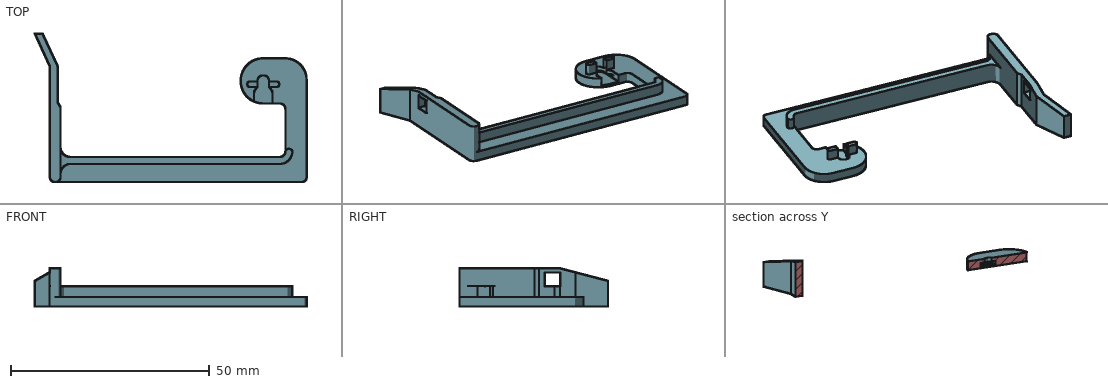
import cadquery as cq
import math

length = 68.65
depth = 37.5
height = 9.7

base_thickness = 2.5
bar_width = 6.4
column_width = 5.4
head_bottom = 19.85
head_top = 31.3
head_radius = (head_top - head_bottom) / 2
head_center_x = 57.65
head_corner_radius = 5.5
inner_radius = 1.4
outer_corner_radius = 1.25
column_inner_x = length - column_width

rail_top = 5.15
rail_width = 1.8
rail_outer_radius = inner_radius + rail_width
rail_outer_y = bar_width - rail_width
rail_bend_x = column_inner_x - inner_radius
rail_bend_y = bar_width + inner_radius
rail_end_rise = 0.7
rail_flare_radius = 2.5

wall_outer_x = 3.8
wall_thickness = 2.75
thin_wall_thickness = 2.05
wall_inner_x = wall_outer_x + wall_thickness
wall_end_radius = 1.3
step_start_y = 18.95
step_end_y = 20.1
bend_y = 29.25
tip_width = 2.0
taper_start_y = 25.4
tip_height = 6.5

window_y = 21.55
window_length = 3.85
window_z = 5.15
window_height = 3.4

pocket_floor = 0.6
slot_width = 2.95
lip_thickness = 1.1
slot_end_y = 27.0
mouth_width = 4.7
shoulder_bottom_y = 22.2
shoulder_top_y = shoulder_bottom_y + math.sqrt(mouth_width**2 - slot_width**2) / 2

peg_top = 5.1
peg_span = 8.1
peg_width = 1.4
peg_center_y = 24.7
peg_end_radius = 0.68


def make_base():
    bar_left = wall_outer_x + wall_end_radius
    head_middle_y = (head_bottom + head_top) / 2
    outline = (
        cq.Workplane("XY")
        .moveTo(bar_left, 0)
        .lineTo(length, 0)
        .lineTo(length, head_top)
        .lineTo(head_center_x, head_top)
        .threePointArc(
            (head_center_x - head_radius, head_middle_y),
            (head_center_x, head_bottom),
        )
        .lineTo(column_inner_x, head_bottom)
        .lineTo(column_inner_x, bar_width)
        .lineTo(bar_left, bar_width)
        .close()
        .extrude(base_thickness)
    )

    def round_corner(body, x, y, radius):
        corner = cq.selectors.NearestToPointSelector((x, y, base_thickness / 2))
        return body.edges("|Z").edges(corner).fillet(radius)

    body = round_corner(outline, length, 0, outer_corner_radius)
    body = round_corner(body, length, head_top, head_corner_radius)
    body = round_corner(body, column_inner_x, head_bottom, inner_radius)
    return round_corner(body, column_inner_x, bar_width, inner_radius)


def make_rail():
    diagonal = math.sqrt(0.5)
    return (
        cq.Workplane("XY")
        .moveTo(wall_inner_x, bar_width)
        .lineTo(rail_bend_x, bar_width)
        .threePointArc(
            (rail_bend_x + inner_radius * diagonal, rail_bend_y - inner_radius * diagonal),
            (column_inner_x, rail_bend_y),
        )
        .threePointArc(
            (column_inner_x + rail_width / 2, rail_bend_y + rail_end_rise),
            (column_inner_x + rail_width, rail_bend_y),
        )
        .threePointArc(
            (rail_bend_x + rail_outer_radius * diagonal, rail_bend_y - rail_outer_radius * diagonal),
            (rail_bend_x, rail_outer_y),
        )
        .lineTo(wall_inner_x, rail_outer_y)
        .close()
        .extrude(rail_top)
    )


def make_flare(edge_y, direction):
    """Concave fillet between the wall and one side of the rail."""
    tangent_x = wall_inner_x + rail_flare_radius
    tangent_y = edge_y + direction * rail_flare_radius
    inset = rail_flare_radius * (1 - math.sqrt(0.5))
    return (
        cq.Workplane("XY")
        .moveTo(wall_inner_x, edge_y)
        .lineTo(tangent_x, edge_y)
        .threePointArc(
            (wall_inner_x + inset, edge_y + direction * inset),
            (wall_inner_x, tangent_y),
        )
        .close()
        .extrude(rail_top)
    )


def make_wall():
    thin_inner_x = wall_outer_x + thin_wall_thickness
    wall = (
        cq.Workplane("XY")
        .polyline([
            (wall_outer_x, 0),
            (wall_inner_x, 0),
            (wall_inner_x, step_start_y),
            (thin_inner_x, step_end_y),
            (thin_inner_x, bend_y),
            (tip_width, depth),
            (0, depth),
            (wall_outer_x, bend_y),
        ])
        .close()
        .extrude(height)
        .edges("|Z and <Y")
        .fillet(wall_end_radius)
    )
    taper = (
        cq.Workplane("YZ")
        .polyline([(taper_start_y, height), (depth, height), (depth, tip_height)])
        .close()
        .extrude(wall_inner_x)
    )
    window = cq.Workplane("XY").box(
        wall_inner_x, window_length, window_height, centered=False
    ).translate((0, window_y, window_z))
    return wall.cut(taper).cut(window)


def make_keyhole():
    slot_half = slot_width / 2
    mouth_half = mouth_width / 2
    arc_y = slot_end_y - slot_half
    shoulder_angle = math.acos(slot_half / mouth_half) / 2
    shoulder_middle_x = mouth_half * math.cos(shoulder_angle)
    shoulder_middle_y = shoulder_bottom_y + mouth_half * math.sin(shoulder_angle)
    return (
        cq.Workplane("XY", origin=(head_center_x, 0, pocket_floor))
        .moveTo(-mouth_half, head_bottom)
        .lineTo(-mouth_half, shoulder_bottom_y)
        .threePointArc((-shoulder_middle_x, shoulder_middle_y), (-slot_half, shoulder_top_y))
        .lineTo(-slot_half, arc_y)
        .threePointArc((0, slot_end_y), (slot_half, arc_y))
        .lineTo(slot_half, shoulder_top_y)
        .threePointArc((shoulder_middle_x, shoulder_middle_y), (mouth_half, shoulder_bottom_y))
        .lineTo(mouth_half, head_bottom)
        .close()
        .extrude(peg_top)
    )


def make_undercut():
    """Wide channel beneath the lip around the narrow part of the keyhole."""
    half = mouth_width / 2
    end_y = slot_end_y - slot_width / 2
    return (
        cq.Workplane("XY", origin=(head_center_x, 0, pocket_floor))
        .moveTo(-half, head_bottom)
        .lineTo(-half, end_y)
        .threePointArc((0, end_y + half), (half, end_y))
        .lineTo(half, head_bottom)
        .close()
        .extrude(base_thickness - lip_thickness - pocket_floor)
    )


def make_pegs():
    """One rounded bar; the keyhole cut splits it into two pegs."""
    return (
        cq.Workplane("XY")
        .box(peg_span, peg_width, peg_top, centered=(True, True, False))
        .edges("|Z")
        .fillet(peg_end_radius)
        .translate((head_center_x, peg_center_y, 0))
    )


head_and_bar = make_base().union(make_pegs()).cut(make_keyhole()).cut(make_undercut())
result = (
    head_and_bar
    .union(make_rail())
    .union(make_flare(bar_width, 1))
    .union(make_flare(rail_outer_y, -1))
    .union(make_wall())
)